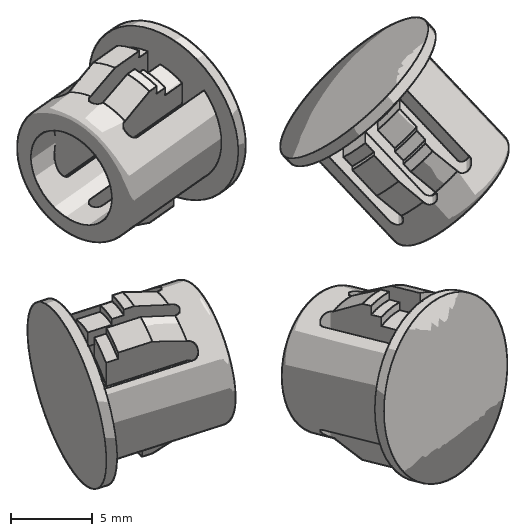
import cadquery as cq

flange_radius = 6.0
flange_thickness = 0.72
dome_height = 0.88

sleeve_radius = 4.65
sleeve_length = 8.7
bore_radius = 3.25
rim_fillet = 0.5

slot_width = 0.98
slot_radius = slot_width / 2
slot_depth = 6.79
window_depth = slot_depth - slot_radius

finger_inner_x = slot_radius
finger_outer_x = bore_radius - slot_width
finger_width = finger_outer_x - finger_inner_x
finger_radius = 5.51
finger_gap = 0.9
ramp_start = 4.0
step_length = 0.8
step_height = 0.5
long_step_length = 2 * step_length


def revolve_about_y(profile):
    return profile.close().revolve(360, (0, 0, 0), (0, 1, 0))


def make_cap():
    profile = (
        cq.Workplane("XY")
        .lineTo(flange_radius, 0)
        .lineTo(flange_radius, flange_thickness)
    )
    sphere_radius = (flange_radius**2 + dome_height**2) / (2 * dome_height)
    top = flange_thickness + dome_height
    mid_x = flange_radius / 2
    mid_y = top - sphere_radius + (sphere_radius**2 - mid_x**2) ** 0.5
    return revolve_about_y(profile.threePointArc((mid_x, mid_y), (0, top)))


def make_sleeve():
    tube = cq.Workplane("XZ").circle(sleeve_radius).extrude(sleeve_length)
    tube = tube.faces("<Y").edges().fillet(rim_fillet)
    bore = cq.Workplane("XZ").circle(bore_radius).extrude(sleeve_length)
    tube = tube.cut(bore)

    window = cq.Workplane("XY").box(
        2 * bore_radius, window_depth, 2 * sleeve_radius, centered=(True, False, True)
    ).translate((0, -window_depth, 0))
    outer_slot_x = bore_radius - slot_radius
    slot_ends = (
        cq.Workplane("XY")
        .pushPoints([(x, -window_depth) for x in (-outer_slot_x, 0, outer_slot_x)])
        .circle(slot_radius)
        .extrude(sleeve_radius, both=True)
    )
    return tube.cut(window).cut(slot_ends)


def make_finger(step_lengths):
    """Finger at +X, +Z; the steps rise outward from its free end, under the flange."""
    radius = finger_radius - len(step_lengths) * step_height
    depth = finger_gap
    profile = cq.Workplane("XY").moveTo(bore_radius, -depth).lineTo(radius, -depth)
    for length in step_lengths:
        depth += length
        profile = profile.lineTo(radius, -depth)
        radius += step_height
        profile = profile.lineTo(radius, -depth)
    profile = (
        profile.lineTo(finger_radius, -ramp_start)
        .lineTo(sleeve_radius, -window_depth)
        .lineTo(bore_radius, -window_depth)
    )
    strip = cq.Workplane("XY").box(
        finger_width, window_depth, finger_radius, centered=False
    ).translate((finger_inner_x, -window_depth, 0))
    return revolve_about_y(profile).intersect(strip)


single_step_finger = make_finger([step_length]).mirror("YZ")
double_step_finger = make_finger([long_step_length, step_length])

result = make_cap().union(make_sleeve())
for finger in (single_step_finger, double_step_finger):
    for angle in (0, 180):
        result = result.union(finger.rotate((0, 0, 0), (0, 1, 0), angle))